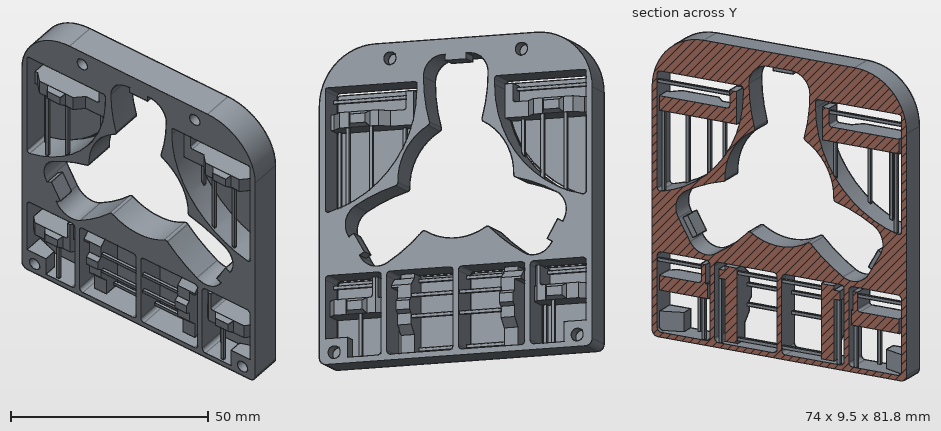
import cadquery as cq
import math

WIDTH = 74.0
HEIGHT = 81.8
DEPTH = 8.6
TOP_RADIUS = 15.1
BOTTOM_RADIUS = 1.8
SIDE_RIM = 1.6

HOLE_DIAMETER = 3.3
HOLE_DEPTH = 3.3
HOLE_SPOTS = [(17.8, 77.8), (33.0, 3.0)]

WINDOW_HEIGHT = 46.0
HUB_RADIUS = 15.7
HUB_TIP_ANGLE = 26.3
LOBE_HALF_WIDTH = 8.75
LOBE_REACH = 31.8
LOBE_CORNER_RADIUS = 5.4
LOBE_SIDE_RADIUS = 43.35
KEY_WIDTH = 5.7
KEY_REACH = 30.3
KEY_DEPTH = 4.75
HUB_TIP_ROUND = 0.8

UPPER_POCKET_RADIUS = 0.7
LOWER_POCKET_RADIUS = 1.1
GAP = 0.6
BACK_PLATE = 1.2
PLATE_FRONT = DEPTH - BACK_PLATE
CLIP_FRONT = 0.3
CLIP_STEP = 2.3
STEP_FRONT = CLIP_FRONT + CLIP_STEP
SHELF_HEIGHT = 4.0
SHELF_FILLET = 0.65
BOSS_WIDTH = 5.7
BOSS_FRONT = -0.9
BOSS_SLOPE = 0.8

BAR = 0.8
BAR_FRONT = 0.65
BAR_DEEP = 5.7
BAR_OVERLAP = 0.5

POCKET_LEFT = SIDE_RIM - WIDTH / 2
UPPER_TOP = 71.3
UPPER_END_GAP = 0.8
UPPER_ARC_X = -41.15
UPPER_ARC_Z = 69.1
UPPER_ARC_RADIUS = 30.6
UPPER_FLOOR = 39.3
LOWER_TOP = 22.9
LOWER_FLOOR = 1.5
CORNER_RIGHT = -20.2
MIDDLE_LEFT = -18.7
MIDDLE_RIGHT = -0.7

CORNER_PAD_RIGHT = -29.4
CORNER_PAD_TOP = 6.6
CORNER_PAD_INNER_DEPTH = 3.5
CORNER_PAD_WALL_DEPTH = 5.7


def block(x0, x1, y0, y1, z0, z1):
    """Box between two corners."""
    return cq.Workplane("XY").box(x1 - x0, y1 - y0, z1 - z0, centered=False).translate((x0, y0, z0))


def extrude_y(outline, y0, y1):
    """Solid from a closed XZ outline, spanning y0 to y1."""
    return outline.extrude(y0 - y1).translate((0, y0, 0))


def frame_body():
    body = block(-WIDTH / 2, WIDTH / 2, 0, DEPTH, 0, HEIGHT)
    body = body.edges("|Y and >Z").fillet(TOP_RADIUS)
    return body.edges("|Y and <Z").fillet(BOTTOM_RADIUS)


def lobe():
    """Upward lobe of the window."""
    tip = math.radians(HUB_TIP_ANGLE)
    tip_x = HUB_RADIUS * math.sin(tip)
    tip_z = HUB_RADIUS * math.cos(tip)
    corner_z = LOBE_REACH - LOBE_CORNER_RADIUS
    flat_x = LOBE_HALF_WIDTH - LOBE_CORNER_RADIUS
    outline = (
        cq.Workplane("XZ")
        .moveTo(0, 0)
        .lineTo(tip_x, tip_z)
        .radiusArc((LOBE_HALF_WIDTH, corner_z), -LOBE_SIDE_RADIUS)
        .radiusArc((flat_x, LOBE_REACH), -LOBE_CORNER_RADIUS)
        .lineTo(-flat_x, LOBE_REACH)
        .radiusArc((-LOBE_HALF_WIDTH, corner_z), -LOBE_CORNER_RADIUS)
        .radiusArc((-tip_x, tip_z), -LOBE_SIDE_RADIUS)
        .close()
    )
    return extrude_y(outline, 0, DEPTH)


def window():
    """Round hub with three lobes; a key stands at the front of each lobe's end."""
    hub = extrude_y(cq.Workplane("XZ").circle(HUB_RADIUS), 0, DEPTH)
    key = block(-KEY_WIDTH / 2, KEY_WIDTH / 2, 0, KEY_DEPTH, KEY_REACH, LOBE_REACH)
    turns = [0, 120, 240]
    shape = hub
    for angle in turns:
        shape = shape.union(lobe().rotate((0, 0, 0), (0, 1, 0), angle))
    inner_box = cq.selectors.BoxSelector(
        (-HUB_RADIUS, 0, -HUB_RADIUS), (HUB_RADIUS, DEPTH, HUB_RADIUS)
    )
    shape = shape.edges("|Y").edges(inner_box).fillet(HUB_TIP_ROUND)
    for angle in turns:
        shape = shape.cut(key.rotate((0, 0, 0), (0, 1, 0), angle))
    return shape.translate((0, 0, WINDOW_HEIGHT))


def upper_region(side_gap, end_gap, y0, y1):
    """Upper pocket shape: straight left and top edges closed by one large arc."""
    left = POCKET_LEFT + side_gap
    top = UPPER_TOP - end_gap
    floor = UPPER_FLOOR + end_gap
    radius = UPPER_ARC_RADIUS - side_gap
    floor_x = UPPER_ARC_X + math.sqrt(radius**2 - (UPPER_ARC_Z - floor) ** 2)
    outline = (
        cq.Workplane("XZ")
        .moveTo(left, floor)
        .lineTo(left, top)
        .lineTo(UPPER_ARC_X + radius, top)
        .lineTo(UPPER_ARC_X + radius, UPPER_ARC_Z)
        .radiusArc((floor_x, floor), radius)
        .close()
    )
    return extrude_y(outline, y0, y1).edges("|Y and (<X or >Z)").fillet(UPPER_POCKET_RADIUS)


def lower_region(left, right, gap, y0, y1):
    """Rounded rectangular pocket shape in the bottom row."""
    region = block(left + gap, right - gap, y0, y1, LOWER_FLOOR + gap, LOWER_TOP - gap)
    return region.edges("|Y").fillet(LOWER_POCKET_RADIUS)


def corner_pad():
    wall = POCKET_LEFT - GAP
    pad = (
        cq.Workplane("XY")
        .moveTo(wall, 0)
        .lineTo(CORNER_PAD_RIGHT, 0)
        .lineTo(CORNER_PAD_RIGHT, CORNER_PAD_INNER_DEPTH)
        .lineTo(wall, CORNER_PAD_WALL_DEPTH)
        .close()
        .extrude(CORNER_PAD_TOP - LOWER_FLOOR + GAP)
    )
    return pad.translate((0, 0, LOWER_FLOOR - GAP))


def upright(x, z0, z1, y):
    """Vertical bar whose left side is at x."""
    return block(x, x + BAR, y, y + BAR, z0, z1)


def crossbar(x0, x1, z, y):
    """Horizontal bar whose underside is at z."""
    return block(x0, x1, y, y + BAR, z, z + BAR)


def boss(x, z):
    """Catch on the clip front with sloping sides, lower left corner at (x, z)."""
    rise = CLIP_FRONT - BOSS_FRONT
    lean = math.degrees(math.atan(BOSS_SLOPE / rise))
    base = cq.Workplane("XZ").rect(BOSS_WIDTH, SHELF_HEIGHT)
    catch = base.extrude(rise, taper=lean)
    return catch.translate((x + BOSS_WIDTH / 2, CLIP_FRONT, z + SHELF_HEIGHT / 2))


def clip_step(points, z):
    """Shelf of the clip: a plan outline raised by the shelf height."""
    return cq.Workplane("XY").polyline(points).close().extrude(SHELF_HEIGHT).translate((0, 0, z))


def shelf_fillet(x, z, y):
    """Concave fillet between a shelf top at z and the column side at x, from y back."""
    corner = block(x - SHELF_FILLET, x, y, DEPTH, z, z + SHELF_FILLET)
    round_cut = cq.Workplane("XZ").center(x - SHELF_FILLET, z + SHELF_FILLET).circle(SHELF_FILLET)
    return corner.cut(extrude_y(round_cut, y, DEPTH))


def upper_clip():
    shelf_z = 60.8
    front_left = -31.65
    front_right = -21.0
    column_left = -14.5
    column_right = -12.4
    column_top = 69.6
    crossbar_z = 68.2
    boss_left = -29.1
    uprights = [(-34.1, BAR_DEEP), (-29.9, BAR_FRONT), (-23.6, BAR_FRONT), (-16.45, BAR_DEEP)]
    plate_left = POCKET_LEFT + GAP
    shelf = clip_step(
        [
            (plate_left, DEPTH),
            (plate_left, STEP_FRONT),
            (front_left - CLIP_STEP, STEP_FRONT),
            (front_left, CLIP_FRONT),
            (front_right, CLIP_FRONT),
            (front_right + CLIP_STEP, STEP_FRONT),
            (column_right, STEP_FRONT),
            (column_right, DEPTH),
        ],
        shelf_z,
    )
    column = block(column_left, column_right, STEP_FRONT, DEPTH, shelf_z, column_top)
    fillet = shelf_fillet(column_left, shelf_z + SHELF_HEIGHT, STEP_FRONT)
    clip = shelf.union(column).union(fillet).intersect(upper_region(GAP, UPPER_END_GAP, 0, DEPTH))
    clip = clip.union(upper_region(GAP, UPPER_END_GAP, PLATE_FRONT, DEPTH))
    clip = clip.union(boss(boss_left, shelf_z))
    clip = clip.union(crossbar(POCKET_LEFT - BAR_OVERLAP, column_left, crossbar_z, BAR_DEEP))
    for x, y in uprights:
        reach = x + BAR / 2 - UPPER_ARC_X
        wall_z = UPPER_ARC_Z - math.sqrt(UPPER_ARC_RADIUS**2 - reach**2)
        clip = clip.union(upright(x, wall_z - BAR_OVERLAP, shelf_z, y))
    return clip


def corner_clip():
    shelf_z = 12.6
    front_left = -33.1
    column_left = -22.7
    column_right = -21.35
    slope_start = -21.9
    column_top = 21.75
    crossbar_z = 20.4
    boss_left = -29.9
    uprights = [(-26.5, BAR_FRONT), (-22.5, BAR_DEEP)]
    plate_left = POCKET_LEFT + GAP
    plate_right = CORNER_RIGHT - GAP
    shelf = clip_step(
        [
            (plate_left, DEPTH),
            (plate_left, CLIP_FRONT + front_left - plate_left),
            (front_left, CLIP_FRONT),
            (slope_start, CLIP_FRONT),
            (plate_right, CLIP_FRONT + plate_right - slope_start),
            (plate_right, DEPTH),
        ],
        shelf_z,
    )
    column = block(column_left, column_right, CLIP_FRONT, DEPTH, shelf_z, column_top)
    column = column.edges("|Z and <Y and >X").chamfer(column_right - slope_start)
    clip = lower_region(POCKET_LEFT, CORNER_RIGHT, GAP, PLATE_FRONT, DEPTH).union(shelf).union(column)
    clip = clip.union(shelf_fillet(column_left, shelf_z + SHELF_HEIGHT, CLIP_FRONT))
    clip = clip.union(boss(boss_left, shelf_z))
    clip = clip.union(crossbar(POCKET_LEFT - BAR_OVERLAP, column_left, crossbar_z, BAR_DEEP))
    for x, y in uprights:
        clip = clip.union(upright(x, LOWER_FLOOR - BAR_OVERLAP, shelf_z, y))
    return clip


def middle_clip():
    column_left = -15.9
    column_right = -12.2
    flange_left = -17.6
    flange_bottom = 18.65
    top_slope = 21.2
    top_edge = 19.2
    boss_bottom = 11.8
    lower_edge = 8.9
    crossbars = [(20.6, BAR_DEEP), (16.0, BAR_FRONT), (10.6, BAR_FRONT), (2.9, BAR_DEEP)]
    plate_bottom = LOWER_FLOOR + GAP
    plate_top = LOWER_TOP - GAP
    column = (
        cq.Workplane("YZ")
        .polyline(
            [
                (DEPTH, plate_bottom),
                (STEP_FRONT, plate_bottom),
                (STEP_FRONT, lower_edge - CLIP_STEP),
                (CLIP_FRONT, lower_edge),
                (CLIP_FRONT, boss_bottom),
                (BOSS_FRONT, boss_bottom + BOSS_SLOPE),
                (BOSS_FRONT, boss_bottom + SHELF_HEIGHT - BOSS_SLOPE),
                (CLIP_FRONT, boss_bottom + SHELF_HEIGHT),
                (CLIP_FRONT, top_edge),
                (STEP_FRONT, top_slope),
                (STEP_FRONT, plate_top),
                (DEPTH, plate_top),
            ]
        )
        .close()
        .extrude(column_right - column_left)
        .translate((column_left, 0, 0))
    )
    flange = (
        cq.Workplane("YZ")
        .polyline(
            [
                (DEPTH, flange_bottom),
                (CLIP_FRONT, flange_bottom),
                (CLIP_FRONT, top_edge),
                (STEP_FRONT, top_slope),
                (DEPTH, top_slope),
            ]
        )
        .close()
        .extrude(column_left - flange_left)
        .translate((flange_left, 0, 0))
    )
    clip = lower_region(MIDDLE_LEFT, MIDDLE_RIGHT, GAP, PLATE_FRONT, DEPTH).union(column).union(flange)
    clip = clip.union(upright(flange_left, LOWER_FLOOR - BAR_OVERLAP, flange_bottom, BAR_DEEP))
    for z, y in crossbars:
        clip = clip.union(crossbar(column_right, MIDDLE_RIGHT + BAR_OVERLAP, z, y))
    return clip


left_pockets = (
    upper_region(0, 0, 0, DEPTH)
    .union(lower_region(POCKET_LEFT, CORNER_RIGHT, 0, 0, DEPTH))
    .union(lower_region(MIDDLE_LEFT, MIDDLE_RIGHT, 0, 0, DEPTH))
)
left_fill = upper_clip().union(corner_clip()).union(middle_clip()).union(corner_pad())

result = frame_body().cut(window())
result = result.cut(left_pockets).cut(left_pockets.mirror("YZ"))
result = result.union(left_fill).union(left_fill.mirror("YZ"))
for spot_x, spot_z in HOLE_SPOTS:
    for x in (-spot_x, spot_x):
        hole = extrude_y(cq.Workplane("XZ").center(x, spot_z).circle(HOLE_DIAMETER / 2), 0, HOLE_DEPTH)
        result = result.cut(hole)